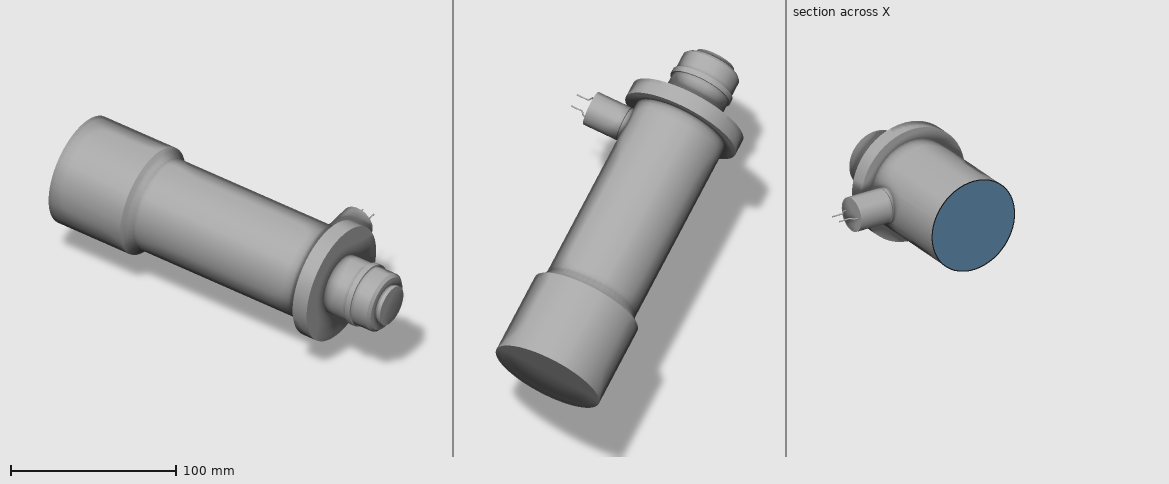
import cadquery as cq

total_length = 227.0
head_length = 52.5
head_radius = 35.09
neck_in_length = 6.1
neck_in_arc_radius = 11.4
barrel_radius = 30.0
flange_start = 180.0
flange_width = 10.2
flange_radius = 37.5

spigot_radius = 18.96
spigot_end = 223.5
spigot_chamfer = 1.8
ring_start = 206.7
ring_width = 3.5
ring_radius = 20.2
cap_width = 2.0
cap_radius = 12.7
cap_neck_radius = 12.3

terminal_x = 166.0
terminal_radius = 11.0
terminal_top = 53.5
terminal_groove_bottom = 30.7
terminal_groove_width = 0.5
terminal_groove_radius = 9.5

pin_diameter = 1.0
pin_root_offset = 6.4
pin_tip_offset = 3.97
pin_lower_bend = 55.6
pin_upper_bend = 57.5
pin_top = 65.0
pin_embed = 1.1


def make_body():
    """Revolve the head, barrel, flange and bare spigot as one profile."""
    flange_end = flange_start + flange_width
    cap_start = total_length - cap_width
    profile = (
        cq.Workplane("XY")
        .lineTo(0, head_radius)
        .lineTo(head_length, head_radius)
        .radiusArc((head_length + neck_in_length, barrel_radius), -neck_in_arc_radius)
        .lineTo(flange_start, barrel_radius)
        .lineTo(flange_start, flange_radius)
        .lineTo(flange_end, flange_radius)
        .lineTo(flange_end, spigot_radius)
        .lineTo(spigot_end - spigot_chamfer, spigot_radius)
        .lineTo(spigot_end, spigot_radius - spigot_chamfer)
        .lineTo(spigot_end, cap_neck_radius)
        .lineTo(cap_start, cap_neck_radius)
        .lineTo(cap_start, cap_radius)
        .lineTo(total_length, cap_radius)
        .lineTo(total_length, 0)
        .close()
    )
    return profile.revolve(360, (0, 0, 0), (1, 0, 0))


def make_spigot_ring():
    """Raised band around the spigot."""
    return cq.Workplane("YZ", origin=(ring_start, 0, 0)).circle(ring_radius).extrude(ring_width)


def make_terminal():
    """Round side post with a narrow groove just above the barrel."""
    groove_top = terminal_groove_bottom + terminal_groove_width
    profile = (
        cq.Workplane("XY", origin=(terminal_x, 0, 0))
        .lineTo(terminal_radius, 0)
        .lineTo(terminal_radius, terminal_groove_bottom)
        .lineTo(terminal_groove_radius, terminal_groove_bottom)
        .lineTo(terminal_groove_radius, groove_top)
        .lineTo(terminal_radius, groove_top)
        .lineTo(terminal_radius, terminal_top)
        .lineTo(0, terminal_top)
        .close()
    )
    return profile.revolve(360, (0, 0, 0), (0, 1, 0))


def make_pin(side):
    """Round wire that steps inward; side is -1 or +1 along X."""
    root_x = terminal_x + side * pin_root_offset
    tip_x = terminal_x + side * pin_tip_offset
    root_y = terminal_top - pin_embed
    path = cq.Workplane("XY").polyline(
        [(root_x, root_y), (root_x, pin_lower_bend), (tip_x, pin_upper_bend), (tip_x, pin_top)]
    )
    section = cq.Workplane("XZ", origin=(root_x, root_y, 0)).circle(pin_diameter / 2)
    return section.sweep(path, transition="right")


result = make_body().union(make_spigot_ring()).union(make_terminal())
for pin_side in (-1, 1):
    result = result.union(make_pin(pin_side))